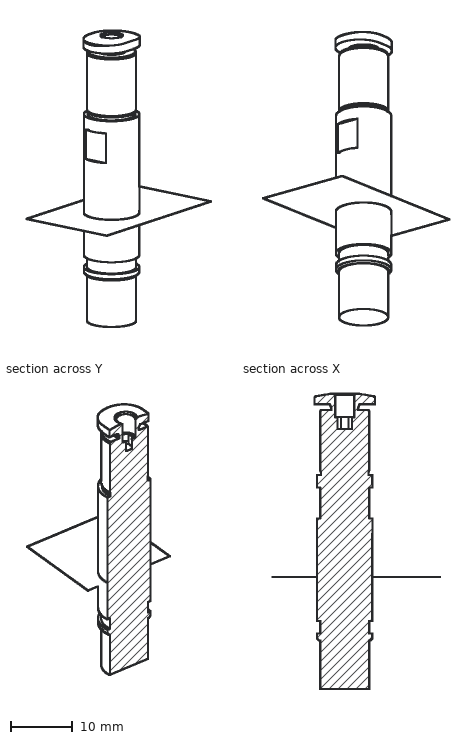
import cadquery as cq
import math

total_height = 47.95
barrel_diameter = 8.0
barrel_radius = barrel_diameter / 2
sleeve_radius = 4.5

ring_bottom = 7.85
ring_top = 9.0
ring_chamfer = 0.35
sleeve_bottom = 11.05
sleeve_top = 34.7
barrel_bottom = 35.5
barrel_top = 45.25
edge_chamfer_height = 0.3
edge_chamfer_inset = 0.12
undercut_radius = barrel_radius - edge_chamfer_inset

neck_radius = 2.2
neck_flare_radius = 2.45
neck_flare_bottom = 45.65

head_bottom = 46.18
head_length = 9.9
dome_radius = 21.6
head_end_chamfer = 0.2

bore_radius = 1.55
bore_chamfer = 0.3
rim_radius = bore_radius + bore_chamfer
bore_depth = 3.85
hex_across_flats = 2.0
hex_depth = 1.9

flat_bottom = 27.65
flat_top = 32.65

sheet_width = 16.7
sheet_length = 27.15
sheet_thickness = 0.05
sheet_height = 18.15
sheet_offset_y = 1.85


def make_shaft():
    """Revolve the stepped shaft, from the bottom face up to the head."""
    profile = [
        (0, 0),
        (barrel_radius, 0),
        (barrel_radius, ring_bottom),
        (sleeve_radius - ring_chamfer, ring_bottom),
        (sleeve_radius, ring_bottom + ring_chamfer),
        (sleeve_radius, ring_top),
        (barrel_radius, ring_top),
        (barrel_radius, sleeve_bottom),
        (sleeve_radius, sleeve_bottom),
        (sleeve_radius, sleeve_top),
        (undercut_radius, sleeve_top),
        (undercut_radius, barrel_bottom - edge_chamfer_height),
        (barrel_radius, barrel_bottom),
        (barrel_radius, barrel_top - edge_chamfer_height),
        (barrel_radius - edge_chamfer_inset, barrel_top),
        (neck_radius, barrel_top),
        (neck_radius, neck_flare_bottom),
        (neck_flare_radius, head_bottom),
        (0, head_bottom),
    ]
    return cq.Workplane("XZ").polyline(profile).close().revolve(360, (0, 0), (0, 1))


def cut_wrench_flats(body):
    """Cut two parallel flats, one barrel diameter apart, into the sleeve."""
    flat_height = flat_top - flat_bottom
    cutter_depth = sleeve_radius - barrel_radius
    for side in (-1, 1):
        cutter = cq.Workplane("XY").box(
            2 * sleeve_radius, 2 * cutter_depth, flat_height, centered=(True, True, False)
        )
        body = body.cut(cutter.translate((0, side * (barrel_radius + cutter_depth), flat_bottom)))
    return body


def make_head():
    """Stadium prism trimmed by a turned blank with a domed top and a chamfered edge."""
    dome_center = total_height - math.sqrt(dome_radius**2 - rim_radius**2)
    apex = dome_center + dome_radius
    blank_radius = head_length / 2
    edge_radius = blank_radius - head_end_chamfer

    def dome_height(radius):
        return dome_center + math.sqrt(dome_radius**2 - radius**2)

    blank = (
        cq.Workplane("XZ")
        .moveTo(0, head_bottom)
        .lineTo(blank_radius, head_bottom)
        .lineTo(blank_radius, dome_height(edge_radius) - head_end_chamfer)
        .lineTo(edge_radius, dome_height(edge_radius))
        .threePointArc((rim_radius, total_height), (0, apex))
        .close()
        .revolve(360, (0, 0), (0, 1))
    )
    prism = (
        cq.Workplane("XY")
        .workplane(offset=head_bottom)
        .slot2D(head_length, barrel_diameter, 90)
        .extrude(apex - head_bottom)
    )
    return prism.intersect(blank)


def make_socket():
    """Chamfered round bore with a hexagon socket in its floor, corners along Y."""
    bore_floor = total_height - bore_depth
    bore_profile = [
        (0, bore_floor),
        (bore_radius, bore_floor),
        (bore_radius, total_height - bore_chamfer),
        (rim_radius, total_height),
        (rim_radius, total_height + bore_chamfer),
        (0, total_height + bore_chamfer),
    ]
    bore = cq.Workplane("XZ").polyline(bore_profile).close().revolve(360, (0, 0), (0, 1))
    hex_across_corners = hex_across_flats / math.cos(math.radians(30))
    hexagon = (
        cq.Workplane("XY")
        .polygon(6, hex_across_corners)
        .extrude(hex_depth)
        .rotate((0, 0, 0), (0, 0, 1), 30)
        .translate((0, 0, bore_floor - hex_depth))
    )
    return bore.union(hexagon)


def make_sheet():
    """Thin sheet, set off centre along Y."""
    sheet = cq.Workplane("XY").box(sheet_width, sheet_length, sheet_thickness)
    return sheet.translate((0, sheet_offset_y, sheet_height))


shaft = cut_wrench_flats(make_shaft())
result = shaft.union(make_head()).cut(make_socket()).union(make_sheet())